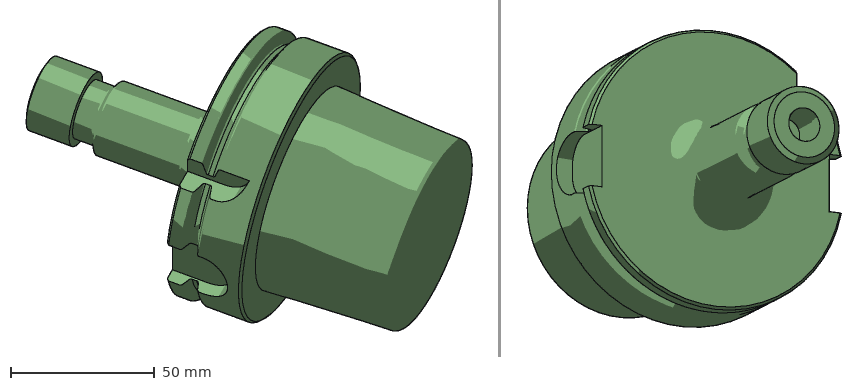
import cadquery as cq
import math


total_length = 150.0
taper_length = 50.0
flange_width = 29.1
flange_back = total_length - taper_length
flange_front = flange_back - flange_width
head_end = 17.4
neck_end = 24.5

pilot_radius = 27.8 / 2
neck_radius = 22.0 / 2
tip_face_radius = 11.7
tip_chamfer_length = 0.9
neck_cone_end = 27.2
neck_cone_fillet = 0.9
collar_radius = 28.0 / 2
collar_chamfer_length = 0.6
root_radius = 10.8
face_ring_radius = 26.2
face_ring_height = 0.2

bore_diameter = 11.0
bore_depth = 15.0
bore_mouth_diameter = 12.0
bore_mouth_depth = 3.8

flange_radius = 100.0 / 2
flange_chamfer = 0.9
groove_center = 79.8
groove_depth = 4.0
groove_mouth_width = 6.3
groove_floor_width = 3.0
groove_fillet = 0.9

taper_base_radius = 38.0
taper_ratio = 0.05
taper_tip_radius = taper_base_radius - taper_ratio * taper_length
taper_tip_fillet = 2.0

slot_end = 95.0
slot_floor = 44.0
front_slot_width = 20.5
rear_slot_width = 22.0
slot_corner_radius = 10.0
notch_offset = 31.4


def circles_between(body, x_start, x_end):
    """Select the turned edges whose centers lie between two X positions."""
    box = cq.selectors.BoxSelector((x_start, -1.5, -1.5), (x_end, 1.5, 1.5))
    return body.edges("%CIRCLE").edges(box)


def make_turned_body():
    root_end = flange_front - face_ring_height
    root_start = root_end - root_radius
    root_outer_radius = collar_radius + root_radius
    arc_offset = root_radius * math.sqrt(0.5)
    arc_middle = (root_start + arc_offset, root_outer_radius - arc_offset)
    groove_floor_radius = flange_radius - groove_depth
    mouth_half = groove_mouth_width / 2
    floor_half = groove_floor_width / 2

    profile = (
        cq.Workplane("XY")
        .lineTo(0, tip_face_radius)
        .lineTo(tip_chamfer_length, pilot_radius)
        .lineTo(head_end, pilot_radius)
        .lineTo(head_end, neck_radius)
        .lineTo(neck_end + neck_cone_fillet / 2, neck_radius)
        .lineTo(neck_cone_end - neck_cone_fillet / 2, pilot_radius)
        .lineTo(root_start - collar_chamfer_length, pilot_radius)
        .lineTo(root_start, collar_radius)
        .threePointArc(arc_middle, (root_end, root_outer_radius))
        .lineTo(flange_front, face_ring_radius)
        .lineTo(flange_front, flange_radius - flange_chamfer)
        .lineTo(flange_front + flange_chamfer, flange_radius)
        .lineTo(groove_center - mouth_half, flange_radius)
        .lineTo(groove_center - floor_half, groove_floor_radius)
        .lineTo(groove_center + floor_half, groove_floor_radius)
        .lineTo(groove_center + mouth_half, flange_radius)
        .lineTo(flange_back - flange_chamfer, flange_radius)
        .lineTo(flange_back, flange_radius - flange_chamfer)
        .lineTo(flange_back, taper_base_radius)
        .lineTo(total_length, taper_tip_radius)
        .lineTo(total_length, 0)
        .close()
    )
    body = profile.revolve(360, (0, 0, 0), (1, 0, 0))
    body = circles_between(body, neck_end, neck_cone_end).fillet(neck_cone_fillet)
    body = circles_between(
        body, groove_center - groove_mouth_width, groove_center + groove_mouth_width
    ).fillet(groove_fillet)
    return body.faces(">X").edges().fillet(taper_tip_fillet)


def make_bore():
    mouth_radius = bore_mouth_diameter / 2
    bore_radius = bore_diameter / 2
    return (
        cq.Workplane("XY")
        .lineTo(0, mouth_radius)
        .lineTo(bore_mouth_depth, bore_radius)
        .lineTo(bore_depth, bore_radius)
        .lineTo(bore_depth, 0)
        .close()
        .revolve(360, (0, 0, 0), (1, 0, 0))
    )


def flange_cutter(y_start, y_end, z_start, z_end):
    """Block from the flange front to the slot end, between the given Y and Z limits."""
    size = (slot_end - flange_front, y_end - y_start, z_end - z_start)
    corner = (flange_front, y_start, z_start)
    return cq.Workplane("XY").box(*size, centered=False).translate(corner)


def make_front_slot():
    """Key slot on the -Y side, ending in a full half round."""
    half_width = front_slot_width / 2
    round_center = slot_end - half_width
    return (
        cq.Workplane("XZ", origin=(0, -slot_floor, 0))
        .moveTo(flange_front, -half_width)
        .lineTo(round_center, -half_width)
        .threePointArc((slot_end, 0), (round_center, half_width))
        .lineTo(flange_front, half_width)
        .close()
        .extrude(flange_radius - slot_floor)
    )


def make_rear_slot():
    """Key slot on the +Y side, ending in two rounded corners."""
    half_width = rear_slot_width / 2
    block = flange_cutter(slot_floor, flange_radius, -half_width, half_width)
    return block.edges("|Y and >X").fillet(slot_corner_radius)


def make_corner_notch():
    block = flange_cutter(-flange_radius, -notch_offset, notch_offset, flange_radius)
    return block.edges("|Y and >X and <Z").fillet(slot_corner_radius)


result = (
    make_turned_body()
    .cut(make_bore())
    .cut(make_front_slot())
    .cut(make_rear_slot())
    .cut(make_corner_notch())
)